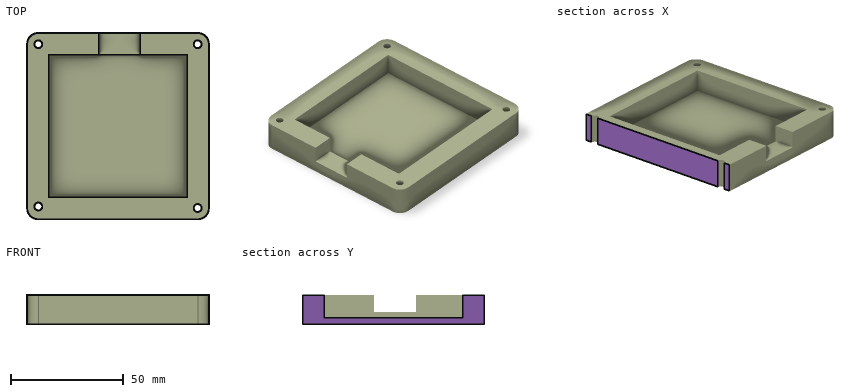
import cadquery as cq

width = 80.6
length = 82.6
height = 13.0
corner_radius = 5.0

wall = 9.75
floor_thickness = 3.0
pocket_width = width - 2 * wall
pocket_length = length - 2 * wall

notch_width = 18.4
notch_center_x = 0.7
notch_depth = 7.5

hole_diameter = 3.4
hole_inset = 5.0
front_left_hole_shift = 0.7

hole_x = width / 2 - hole_inset
hole_y = length / 2 - hole_inset
hole_positions = [
    (hole_x, hole_y),
    (-hole_x, hole_y),
    (hole_x, -hole_y),
    (-hole_x, -hole_y + front_left_hole_shift),
]


def make_block():
    block = cq.Workplane("XY").box(width, length, height, centered=(True, True, False))
    return block.edges("|Z").fillet(corner_radius)


def make_pocket():
    pocket = cq.Workplane("XY").workplane(offset=floor_thickness)
    return pocket.rect(pocket_width, pocket_length).extrude(height - floor_thickness)


def make_notch():
    notch = cq.Workplane("XY").workplane(offset=height - notch_depth)
    notch = notch.center(notch_center_x, length / 2 - wall / 2)
    return notch.rect(notch_width, wall).extrude(notch_depth)


def make_screw_holes():
    holes = cq.Workplane("XY").pushPoints(hole_positions)
    return holes.circle(hole_diameter / 2).extrude(height)


result = make_block().cut(make_pocket()).cut(make_notch()).cut(make_screw_holes())